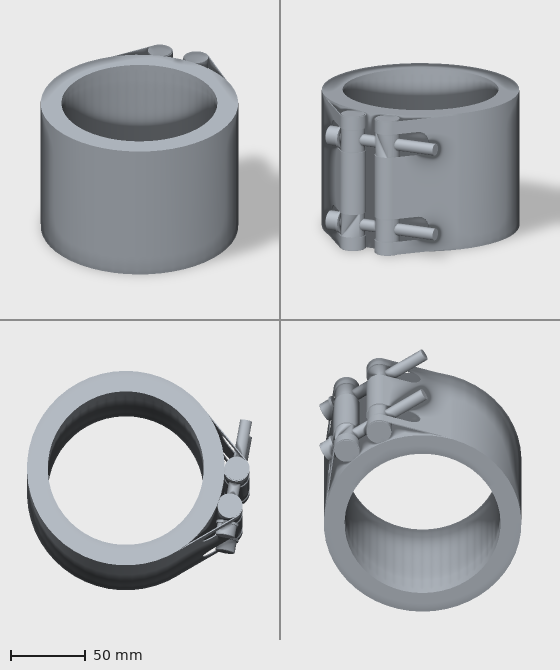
import cadquery as cq
import math

sleeve_diameter = 131.8
bore_diameter = 104.0
sleeve_height = 94.0
sleeve_radius = sleeve_diameter / 2
mid_z = sleeve_height / 2

overall_depth = 147.32
strap_thickness = 0.7
strap_height = 92.0
pin_diameter = 16.0
pin_height = 93.0
pin_half_spacing = 13.0
pin_radius = pin_diameter / 2
loop_radius = pin_radius + strap_thickness
pin_y = overall_depth - sleeve_radius - loop_radius

slot_width = 16.0
slot_end_to_pin = 18.0

bolt_spacing = 58.6
bolt_diameter = 8.0
bolt_tip_x = -48.8
washer_diameter = 15.0
washer_thickness = 1.7
head_diameter = 13.0
head_end_x = 30.5
head_edge_chamfer = 0.3
washer_x = pin_half_spacing + pin_radius
head_x = washer_x + washer_thickness
bolt_heights = [mid_z - bolt_spacing / 2, mid_z + bolt_spacing / 2]

pin_distance = math.hypot(pin_half_spacing, pin_y)
pin_angle = math.atan2(pin_y, -pin_half_spacing)
tangent_angle = pin_angle + math.acos((sleeve_radius - loop_radius) / pin_distance)
loop_end_angle = pin_angle - math.pi
loop_mid_angle = (tangent_angle + loop_end_angle) / 2


def on_sleeve(radius, angle):
    return (radius * math.cos(angle), radius * math.sin(angle))


def on_loop(radius, angle):
    return (-pin_half_spacing + radius * math.cos(angle), pin_y + radius * math.sin(angle))


def upright_cylinder(diameter, height, x, y):
    return (
        cq.Workplane("XY", origin=(x, y, mid_z - height / 2))
        .circle(diameter / 2)
        .extrude(height)
    )


def bolt_cylinder(diameter, start_x, end_x, z):
    return (
        cq.Workplane("YZ", origin=(start_x, pin_y, z))
        .circle(diameter / 2)
        .extrude(end_x - start_x)
    )


def make_sleeve():
    outside = cq.Workplane("XY").circle(sleeve_radius).extrude(sleeve_height)
    bore = cq.Workplane("XY").circle(bore_diameter / 2).extrude(sleeve_height)
    return outside.cut(bore)


def make_slot(z):
    """Cutter square to the strap: round end below the pin, open beyond the loop."""
    along_strap = (math.sin(tangent_angle), -math.cos(tangent_angle), 0)
    outward = (math.cos(tangent_angle), math.sin(tangent_angle), 0)
    outer_x, outer_y = on_loop(2 * loop_radius, tangent_angle)
    plane = cq.Plane(origin=(outer_x, outer_y, z), xDir=along_strap, normal=outward)
    depth = 4 * loop_radius
    length = slot_end_to_pin + 2 * loop_radius
    straight = (
        cq.Workplane(plane)
        .center(length / 2 - slot_end_to_pin, 0)
        .rect(length, slot_width)
        .extrude(-depth)
    )
    round_end = (
        cq.Workplane(plane)
        .center(-slot_end_to_pin, 0)
        .circle(slot_width / 2)
        .extrude(-depth)
    )
    return straight.union(round_end)


def make_strap_end():
    """Left-hand strap end: tangent to the sleeve, then over the pin and down to the sleeve."""
    strap = (
        cq.Workplane("XY", origin=(0, 0, mid_z - strap_height / 2))
        .moveTo(*on_sleeve(sleeve_radius, tangent_angle))
        .lineTo(*on_loop(loop_radius, tangent_angle))
        .threePointArc(on_loop(loop_radius, loop_mid_angle), on_loop(loop_radius, loop_end_angle))
        .lineTo(*on_loop(pin_radius, loop_end_angle))
        .threePointArc(on_loop(pin_radius, loop_mid_angle), on_loop(pin_radius, tangent_angle))
        .lineTo(*on_sleeve(sleeve_radius - strap_thickness, tangent_angle))
        .close()
        .extrude(strap_height)
    )
    for z in bolt_heights:
        strap = strap.cut(make_slot(z))
    return strap


def make_bolt(z):
    shank = bolt_cylinder(bolt_diameter, bolt_tip_x, head_x, z)
    washer = bolt_cylinder(washer_diameter, washer_x, head_x, z)
    head = bolt_cylinder(head_diameter, head_x, head_end_x, z)
    head = head.faces(">X").chamfer(head_edge_chamfer)
    return shank.union(washer).union(head)


pin = upright_cylinder(pin_diameter, pin_height, -pin_half_spacing, pin_y)
clamp_side = make_strap_end().union(pin)

result = make_sleeve().union(clamp_side).union(clamp_side.mirror("YZ"))
for bolt_z in bolt_heights:
    result = result.union(make_bolt(bolt_z))